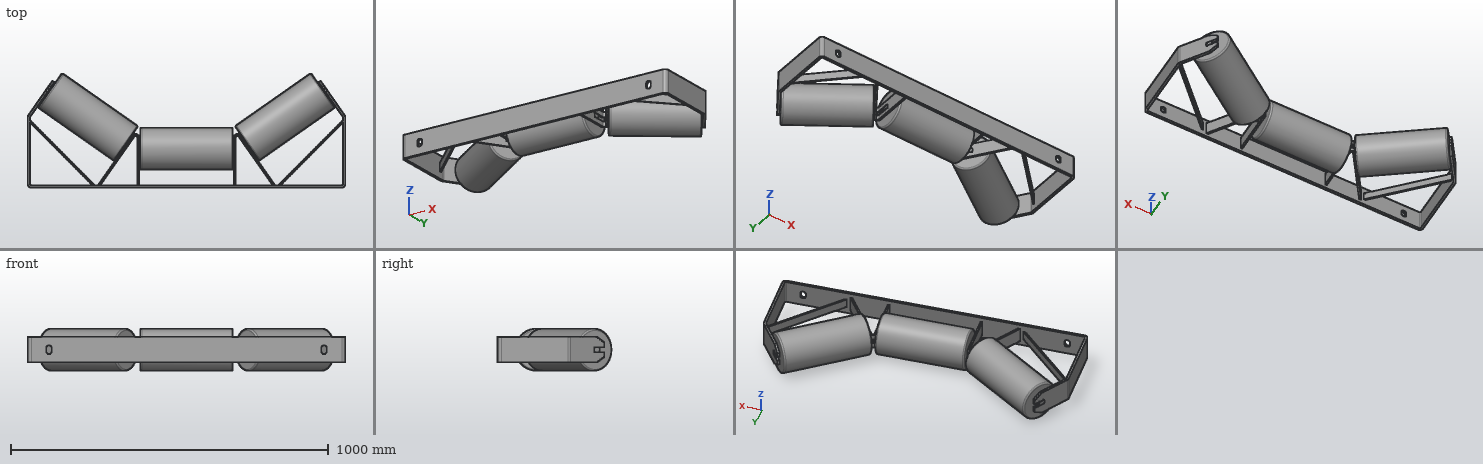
import cadquery as cq
import math


TROUGH_ANGLE = 35.0
ROLLER_DIAMETER = 133.0
ROLLER_LENGTH = 292.0
ROLLER_EDGE = 5.0
SHAFT_DIAMETER = 22.0
SHAFT_FLATS = 15.0
CENTRE_ROLLER_Y = 123.0
SIDE_ROLLER_X = 310.0
SIDE_ROLLER_Y = 223.0

FRAME_LENGTH = 1000.0
STRIP_WIDTH = 80.0
FRAME_THICKNESS = 8.0
END_GAP = 3.0
ARM_LENGTH = 136.0
TIP_CHAMFER_ALONG = 28.0
TIP_CHAMFER_ACROSS = 17.0
FRAME_BEND_RADIUS = 4.0
MOUNT_SLOT_X = 433.0
MOUNT_SLOT_WIDTH = 18.0
MOUNT_SLOT_HEIGHT = 27.0

BRACKET_THICKNESS = 6.0
BRACKET_BEND_RADIUS = 5.0
BRACKET_WIDTH = 50.0

BRACE_THICKNESS = 5.0
BRACE_WIDTH = 30.0
BRACE_TOP_Y = 212.0
BRACE_FOOT_X = 289.0

HALF_LENGTH = FRAME_LENGTH / 2
PLATE_FACE = ROLLER_LENGTH / 2 + END_GAP
FRAME_REACH = PLATE_FACE + FRAME_THICKNESS
BRACKET_REACH = PLATE_FACE + BRACKET_THICKNESS
SLOT_DEPTH = ROLLER_DIAMETER
COS = math.cos(math.radians(TROUGH_ANGLE))
SIN = math.sin(math.radians(TROUGH_ANGLE))


def offset_path(points, distance):
    """Shift an open polyline to its left by a distance, with mitred corners."""
    headings = [
        math.atan2(end[1] - start[1], end[0] - start[0])
        for start, end in zip(points, points[1:])
    ]
    befores = [headings[0]] + headings
    afters = headings + [headings[-1]]
    shifted = []
    for (x, y), before, after in zip(points, befores, afters):
        normal = (before + after) / 2 + math.pi / 2
        reach = distance / math.cos((after - before) / 2)
        shifted.append((x + reach * math.cos(normal), y + reach * math.sin(normal)))
    return shifted


def bent_strip(outer, thickness, width, bend_radius):
    """Strip bent to the left along its outer polyline, centred on Z = 0."""
    inner = offset_path(outer, thickness)
    strip = (
        cq.Workplane("XY")
        .polyline(outer + inner[::-1])
        .close()
        .extrude(width / 2, both=True)
    )
    bends = [(point, bend_radius + thickness) for point in outer[1:-1]]
    bends += [(point, bend_radius) for point in inner[1:-1]]
    for (x, y), radius in bends:
        corner = cq.selectors.NearestToPointSelector((x, y, 0))
        strip = strip.edges("|Z").edges(corner).fillet(radius)
    return strip


def place_centre(body):
    return body.translate((0, CENTRE_ROLLER_Y, 0))


def place_side(body, side):
    """Move a body from the origin to an outer roller: side is -1 for -X, 1 for +X."""
    tilted = body.rotate((0, 0, 0), (0, 0, 1), side * TROUGH_ANGLE)
    return tilted.translate((side * SIDE_ROLLER_X, SIDE_ROLLER_Y, 0))


def make_shaft(left_reach, right_reach):
    """Shaft along X with two flats, reaching the given distances either side of the origin."""
    return (
        cq.Workplane("YZ", origin=(-left_reach, 0, 0))
        .circle(SHAFT_DIAMETER / 2)
        .extrude(left_reach + right_reach)
        .intersect(cq.Workplane("XY").box(FRAME_LENGTH, SHAFT_DIAMETER, SHAFT_FLATS))
    )


def make_roller(left_reach, right_reach):
    """Roller and its shaft, with the shaft ends at the given distances from the middle."""
    drum = (
        cq.Workplane("YZ", origin=(-ROLLER_LENGTH / 2, 0, 0))
        .circle(ROLLER_DIAMETER / 2)
        .extrude(ROLLER_LENGTH)
        .faces("<X or >X")
        .edges()
        .fillet(ROLLER_EDGE)
    )
    return drum.union(make_shaft(left_reach, right_reach))


def make_slot_cutter():
    """Open slots for both ends of a shaft, leading up from the shaft."""
    channel = cq.Workplane("XY").box(2 * FRAME_REACH, SLOT_DEPTH, SHAFT_FLATS)
    channel = channel.translate((0, SLOT_DEPTH / 2, 0))
    return channel.union(make_shaft(FRAME_REACH, FRAME_REACH))


def make_frame():
    bend_y = SIDE_ROLLER_Y + (FRAME_REACH - (HALF_LENGTH - SIDE_ROLLER_X) * COS) / SIN
    tip_x = HALF_LENGTH - ARM_LENGTH * SIN
    tip_y = bend_y + ARM_LENGTH * COS
    left = [(-tip_x, tip_y), (-HALF_LENGTH, bend_y), (-HALF_LENGTH, 0)]
    right = [(-x, y) for x, y in reversed(left)]
    frame = bent_strip(left + right, FRAME_THICKNESS, STRIP_WIDTH, FRAME_BEND_RADIUS)

    for side in (-1, 1):
        for end in (-1, 1):
            edge_z = end * STRIP_WIDTH / 2
            chamfer_z = end * (STRIP_WIDTH / 2 - TIP_CHAMFER_ACROSS)
            corner = (
                cq.Workplane("YZ")
                .polyline([(0, edge_z), (-TIP_CHAMFER_ALONG, edge_z), (0, chamfer_z)])
                .close()
                .extrude(2 * FRAME_THICKNESS, both=True)
                .rotate((0, 0, 0), (0, 0, 1), side * TROUGH_ANGLE)
            )
            frame = frame.cut(corner.translate((side * tip_x, tip_y, 0)))
        frame = frame.cut(place_side(make_slot_cutter(), side))

    mount_slots = (
        cq.Workplane("XZ")
        .pushPoints([(-MOUNT_SLOT_X, 0), (MOUNT_SLOT_X, 0)])
        .slot2D(MOUNT_SLOT_HEIGHT, MOUNT_SLOT_WIDTH, 90)
        .extrude(-FRAME_THICKNESS)
    )
    return frame.cut(mount_slots)


def make_left_bracket():
    """Plate bent over a sharp peak, between the left and centre rollers."""
    upright_x = -PLATE_FACE
    peak_y = SIDE_ROLLER_Y - (PLATE_FACE - (SIDE_ROLLER_X - PLATE_FACE) * COS) / SIN
    foot_x = -SIDE_ROLLER_X + (PLATE_FACE - SIDE_ROLLER_Y * SIN) / COS
    outer = [(upright_x, 0), (upright_x, peak_y), (foot_x, 0)]
    bracket = bent_strip(outer, BRACKET_THICKNESS, BRACKET_WIDTH, BRACKET_BEND_RADIUS)
    base = cq.Workplane("XY").box(FRAME_LENGTH, 2 * FRAME_THICKNESS, STRIP_WIDTH)
    bracket = bracket.cut(base)
    bracket = bracket.cut(place_centre(make_slot_cutter()))
    return bracket.cut(place_side(make_slot_cutter(), -1))


def make_left_brace():
    """Flat diagonal from the upright to the base, cut flush at both ends."""
    wall_x = -HALF_LENGTH + FRAME_THICKNESS
    run = -BRACE_FOOT_X - wall_x
    rise = BRACE_TOP_Y - FRAME_THICKNESS
    slope_length = math.hypot(run, rise)
    return (
        cq.Workplane("XY")
        .polyline([
            (wall_x, BRACE_TOP_Y),
            (-BRACE_FOOT_X, FRAME_THICKNESS),
            (-BRACE_FOOT_X - BRACE_THICKNESS * slope_length / rise, FRAME_THICKNESS),
            (wall_x, BRACE_TOP_Y - BRACE_THICKNESS * slope_length / run),
        ])
        .close()
        .extrude(BRACE_WIDTH / 2, both=True)
    )


frame = make_frame()
centre_roller = place_centre(make_roller(BRACKET_REACH, BRACKET_REACH))

left_roller = place_side(make_roller(FRAME_REACH, BRACKET_REACH), -1)
right_roller = place_side(make_roller(BRACKET_REACH, FRAME_REACH), 1)
bodies = [frame, centre_roller, left_roller, right_roller]

for left_body in (make_left_bracket(), make_left_brace()):
    bodies += [left_body, left_body.mirror("YZ")]

result = cq.Compound.makeCompound([body.solids().val() for body in bodies])